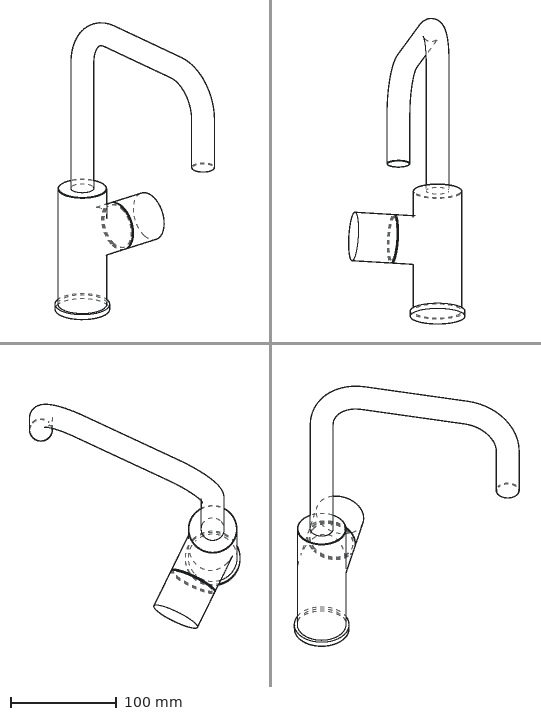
import cadquery as cq
import math

overall_height = 303.5
overall_depth = 107.0

base_diameter = 52.0
base_height = 5.2
column_diameter = 46.0
column_top = 123.8
column_edge_chamfer = 0.5

tube_diameter = 22.0
spout_reach = 180.0
bend_radius = 40.0
spout_tip_height = 202.7
tip_edge_chamfer = 0.5

branch_height = 73.8
branch_end = 42.5
branch_fillet = 1.2
handle_gap = 1.2
handle_neck_diameter = 42.0

column_radius = column_diameter / 2
spout_axis_top = overall_height - tube_diameter / 2
bend_start = spout_axis_top - bend_radius
handle_start = branch_end + handle_gap
handle_end = overall_depth - base_diameter / 2


def cylinder_along_y(diameter, start, end):
    """Horizontal cylinder at the branch height, running from Y = start to Y = end."""
    return cq.Workplane(
        cq.Solid.makeCylinder(
            diameter / 2, end - start, cq.Vector(0, start, branch_height), cq.Vector(0, 1, 0)
        )
    )


def make_column():
    """Base flange and upright column with a side branch blended into it."""
    flange = cq.Workplane("XY").circle(base_diameter / 2).extrude(base_height)
    column = cq.Workplane("XY").circle(column_radius).extrude(column_top)
    column = column.faces(">Z").edges().chamfer(column_edge_chamfer)
    column = column.union(cylinder_along_y(column_diameter, 0, branch_end))

    inner_limit = column_radius / 4
    mitre_zone = cq.selectors.BoxSelector(
        (-column_radius, inner_limit, branch_height - column_radius),
        (column_radius, column_radius, branch_height + column_radius),
    )
    column = column.edges(mitre_zone).fillet(branch_fillet)
    return column.union(flange)


def make_spout():
    """Round tube rising from the column, with two quarter bends and a downturned tip."""
    bend_offset = bend_radius * (1 - math.cos(math.pi / 4))
    path = (
        cq.Workplane("XZ")
        .moveTo(0, column_top)
        .lineTo(0, bend_start)
        .threePointArc((bend_offset, spout_axis_top - bend_offset), (bend_radius, spout_axis_top))
        .lineTo(spout_reach - bend_radius, spout_axis_top)
        .threePointArc(
            (spout_reach - bend_offset, spout_axis_top - bend_offset), (spout_reach, bend_start)
        )
        .lineTo(spout_reach, spout_tip_height)
    )
    tube = cq.Workplane("XY", origin=(0, 0, column_top)).circle(tube_diameter / 2).sweep(path)
    tip_edge = cq.selectors.NearestToPointSelector((spout_reach, 0, spout_tip_height))
    return tube.faces(tip_edge).edges().chamfer(tip_edge_chamfer)


def make_handle():
    """Turning knob whose narrower neck seats on the end of the branch."""
    neck = cylinder_along_y(handle_neck_diameter, branch_end, handle_start)
    knob = cylinder_along_y(column_diameter, handle_start, handle_end)
    return knob.union(neck)


faucet_body = make_column().union(make_spout())
handle = make_handle()

result = cq.Compound.makeCompound([faucet_body.val(), handle.val()])